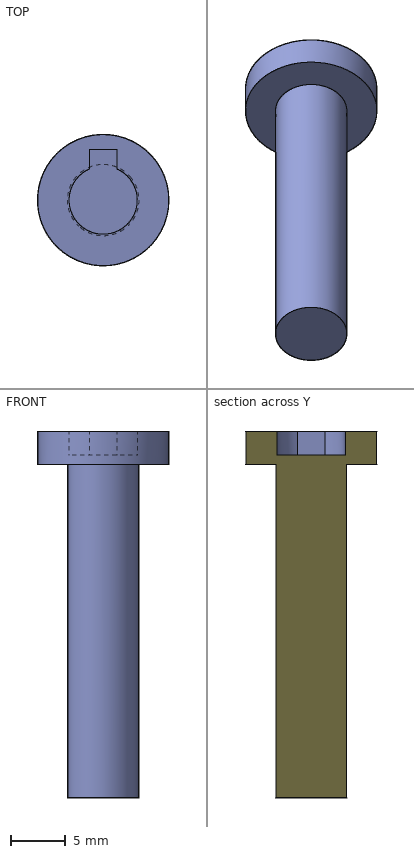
import cadquery as cq

total_length = 33.4
head_diameter = 12.0
head_thickness = 3.05
shank_diameter = 6.5

recess_diameter = 6.2
recess_depth = 2.15
keyway_width = 2.5
keyway_reach = 4.6


def make_pin():
    """Round shank standing on Z = 0 with a wider round head on top."""
    shank_length = total_length - head_thickness
    shank = cq.Workplane("XY").circle(shank_diameter / 2).extrude(shank_length)
    head = (
        cq.Workplane("XY", origin=(0, 0, shank_length))
        .circle(head_diameter / 2)
        .extrude(head_thickness)
    )
    return shank.union(head)


def make_keyed_recess():
    """Blind round pocket with a square-ended keyway toward +Y."""
    floor = cq.Workplane("XY", origin=(0, 0, total_length - recess_depth))
    pocket = floor.circle(recess_diameter / 2).extrude(recess_depth)
    keyway = (
        floor.center(0, keyway_reach / 2)
        .rect(keyway_width, keyway_reach)
        .extrude(recess_depth)
    )
    return pocket.union(keyway)


result = make_pin().cut(make_keyed_recess())